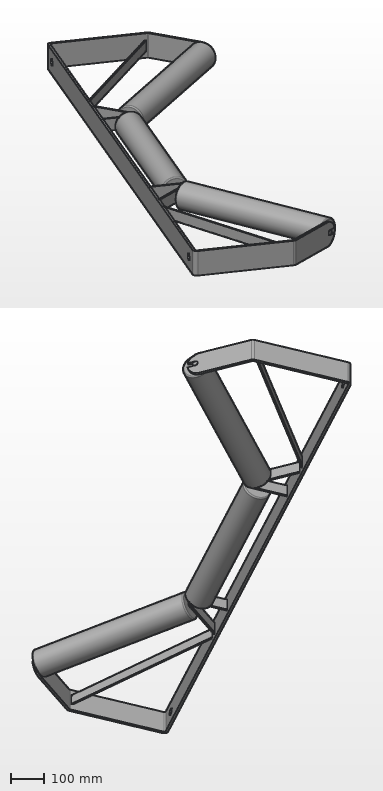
import cadquery as cq
import math

FRAME_WIDTH = 1680.0
STRAP_HEIGHT = 80.0
STRAP_THICKNESS = 8.0
BEND_RADIUS = 13.0
TAB_TIP_REACH = 25.0
MOUNT_HOLE_DIAMETER = 22.0
MOUNT_HOLE_X = 783.0

TROUGH_ANGLE = 40.0
ROLLER_DIAMETER = 89.0
ROLLER_LENGTH = 531.0
ROLLER_END_FILLET = 4.2
SHAFT_DIAMETER = 17.0
END_GAP = 4.2
TAB_GAP = 2.0

CENTRE_AXIS_Y = 100.0
CENTRE_AXIS_Z = -5.0
WING_INNER_X = 305.0
WING_INNER_Y = 115.0
WING_OUTER_Z = 2.0

BRACKET_TOP_Y = 126.0
BRACKET_THICKNESS = 6.0
BRACKET_HEIGHT = 40.0

CUT_MARGIN = 3.0

BRACE_HEIGHT = 35.0
BRACE_THICKNESS = 5.0
BRACE_WALL_Y = 310.0
BRACE_BAR_X = 405.0

HALF_WIDTH = FRAME_WIDTH / 2
HALF_HEIGHT = STRAP_HEIGHT / 2
SLOPE_COS = math.cos(math.radians(TROUGH_ANGLE))
SLOPE_SIN = math.sin(math.radians(TROUGH_ANGLE))
WING_RISE = WING_OUTER_Z - CENTRE_AXIS_Z
WING_REACH = math.sqrt(ROLLER_LENGTH**2 - WING_RISE**2)

PLATE_FACE = END_GAP
PLATE_BACK = END_GAP + BRACKET_THICKNESS
FAR_FACE = ROLLER_LENGTH + TAB_GAP
FAR_BACK = FAR_FACE + STRAP_THICKNESS


def wing_point(distance, side):
    """Plan point of the left wing: distance outward from the inner roller end, side off the axis."""
    x = -WING_INNER_X - distance * SLOPE_COS + side * SLOPE_SIN
    y = WING_INNER_Y + distance * SLOPE_SIN + side * SLOPE_COS
    return (x, y)


def wing_point_at_x(distance, x):
    return wing_point(distance, (x + WING_INNER_X + distance * SLOPE_COS) / SLOPE_SIN)


def wing_point_at_y(distance, y):
    return wing_point(distance, (y - WING_INNER_Y - distance * SLOPE_SIN) / SLOPE_COS)


CENTRE_PLANE = cq.Plane(
    origin=(-ROLLER_LENGTH / 2, CENTRE_AXIS_Y, CENTRE_AXIS_Z),
    xDir=(0, 1, 0),
    normal=(1, 0, 0),
)
WING_PLANE = cq.Plane(
    origin=(-WING_INNER_X, WING_INNER_Y, CENTRE_AXIS_Z),
    xDir=(SLOPE_SIN, SLOPE_COS, 0),
    normal=(-WING_REACH * SLOPE_COS, WING_REACH * SLOPE_SIN, WING_RISE),
)


def plate(points, height):
    """Plan outline extruded to a height centred on z = 0."""
    return cq.Workplane("XY").polyline(points).close().extrude(height / 2, both=True)


def mirrored(body):
    return body.mirror("YZ")


def make_roller(plane, shaft_end):
    """Roller whose shaft runs from the back of its bracket to `shaft_end`, measured along the axis."""
    drum = cq.Workplane(plane).circle(ROLLER_DIAMETER / 2).extrude(ROLLER_LENGTH)
    drum = drum.edges().fillet(ROLLER_END_FILLET)
    shaft = (
        cq.Workplane(plane)
        .workplane(offset=-PLATE_BACK)
        .circle(SHAFT_DIAMETER / 2)
        .extrude(PLATE_BACK + shaft_end)
    )
    return drum.union(shaft)


def shaft_slot(plane, near, far):
    """Open-topped slot with a round bottom, cut between two distances along a roller axis."""
    start = cq.Workplane(plane).workplane(offset=near)
    bottom = start.circle(SHAFT_DIAMETER / 2).extrude(far - near)
    throat = (
        start.center(STRAP_HEIGHT / 2, 0)
        .rect(STRAP_HEIGHT, SHAFT_DIAMETER)
        .extrude(far - near)
    )
    return bottom.union(throat)


def make_frame():
    inner_wall = HALF_WIDTH - STRAP_THICKNESS
    left_outline = [
        (-inner_wall, STRAP_THICKNESS),
        wing_point_at_x(FAR_FACE, -inner_wall),
        wing_point(FAR_FACE, TAB_TIP_REACH),
        wing_point(FAR_BACK, TAB_TIP_REACH),
        wing_point_at_x(FAR_BACK, -HALF_WIDTH),
        (-HALF_WIDTH, 0),
    ]
    right_outline = [(-x, y) for x, y in reversed(left_outline)]
    frame = plate(left_outline + right_outline, STRAP_HEIGHT)

    inner_bend = BEND_RADIUS - STRAP_THICKNESS
    for (x, y), radius in (
        ((-HALF_WIDTH, 0), BEND_RADIUS),
        (wing_point_at_x(FAR_BACK, -HALF_WIDTH), BEND_RADIUS),
        ((-inner_wall, STRAP_THICKNESS), inner_bend),
        (wing_point_at_x(FAR_FACE, -inner_wall), inner_bend),
    ):
        for side in (1, -1):
            corner = cq.selectors.NearestToPointSelector((side * x, y, 0))
            frame = frame.edges("|Z").edges(corner).fillet(radius)

    slot = shaft_slot(WING_PLANE, FAR_FACE - CUT_MARGIN, FAR_BACK + CUT_MARGIN)
    for tool in (tab_tip_waste(), slot):
        frame = frame.cut(tool).cut(mirrored(tool))

    holes = (
        cq.Workplane("XZ")
        .pushPoints([(-MOUNT_HOLE_X, 0), (MOUNT_HOLE_X, 0)])
        .circle(MOUNT_HOLE_DIAMETER / 2)
        .extrude(-STRAP_THICKNESS)
    )
    return frame.cut(holes)


def tab_tip_waste():
    """Material outside the half-round tip of the left end tab."""
    tip_plane = cq.Plane(
        origin=(*wing_point(FAR_FACE - CUT_MARGIN, TAB_TIP_REACH - HALF_HEIGHT), 0),
        xDir=(SLOPE_SIN, SLOPE_COS, 0),
        normal=(-SLOPE_COS, SLOPE_SIN, 0),
    )
    depth = STRAP_THICKNESS + 2 * CUT_MARGIN
    block = (
        cq.Workplane(tip_plane)
        .center(STRAP_HEIGHT / 2, 0)
        .rect(STRAP_HEIGHT, 2 * STRAP_HEIGHT)
        .extrude(depth)
    )
    return block.cut(cq.Workplane(tip_plane).circle(HALF_HEIGHT).extrude(depth))


def make_left_bracket():
    leg_face = -ROLLER_LENGTH / 2 - PLATE_FACE
    leg_back = leg_face - BRACKET_THICKNESS
    under_top = BRACKET_TOP_Y - BRACKET_THICKNESS
    outline = [
        wing_point_at_y(-PLATE_FACE, STRAP_THICKNESS),
        wing_point_at_y(-PLATE_FACE, BRACKET_TOP_Y),
        (leg_face, BRACKET_TOP_Y),
        (leg_face, STRAP_THICKNESS),
        (leg_back, STRAP_THICKNESS),
        (leg_back, under_top),
        wing_point_at_y(-PLATE_BACK, under_top),
        wing_point_at_y(-PLATE_BACK, STRAP_THICKNESS),
    ]
    bracket = plate(outline, BRACKET_HEIGHT)
    for plane in (CENTRE_PLANE, WING_PLANE):
        bracket = bracket.cut(shaft_slot(plane, -PLATE_BACK - CUT_MARGIN, -PLATE_FACE + CUT_MARGIN))
    return bracket


def make_left_brace():
    wall_x = -HALF_WIDTH + STRAP_THICKNESS
    run = -BRACE_BAR_X - wall_x
    drop = BRACE_WALL_Y - STRAP_THICKNESS
    length = math.hypot(run, drop)
    outline = [
        (wall_x, BRACE_WALL_Y),
        (-BRACE_BAR_X, STRAP_THICKNESS),
        (-BRACE_BAR_X - BRACE_THICKNESS * length / drop, STRAP_THICKNESS),
        (wall_x, BRACE_WALL_Y - BRACE_THICKNESS * length / run),
    ]
    return plate(outline, BRACE_HEIGHT)


frame = make_frame()
centre_roller = make_roller(CENTRE_PLANE, ROLLER_LENGTH + PLATE_BACK)
left_wing_roller = make_roller(WING_PLANE, FAR_BACK)
left_bracket = make_left_bracket()
left_brace = make_left_brace()

left_bodies = [left_wing_roller, left_bracket, left_brace]
right_bodies = [mirrored(body) for body in left_bodies]

result = cq.Compound.makeCompound(
    [body.val() for body in [frame, centre_roller] + left_bodies + right_bodies]
)